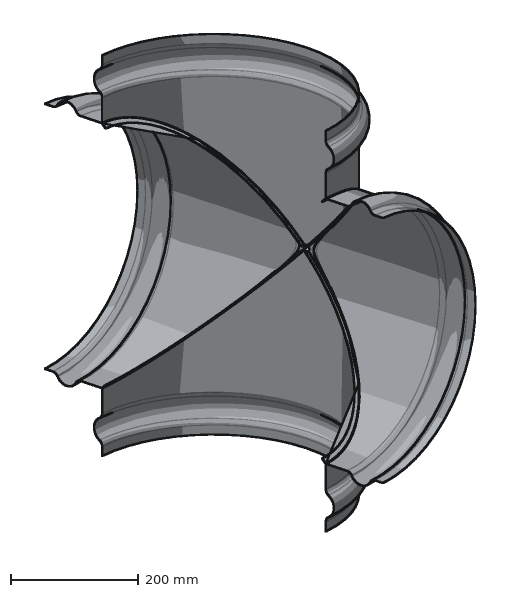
import cadquery as cq
import math

length = 690.0
crest_radius = 245.0
duct_radius = 228.5
sheet = 0.5
bead_offset = 45.0
bead_half_width = 28.0
bead_blend_radius = 10.5
seam_depth = 7.5
center_hole_radius = 5.5
joint_gap = 0.5

seam_width = 2 * sheet
half_length = length / 2
bore_radius = duct_radius - sheet
bead_center = half_length - bead_offset

bead_angle = 2 * math.atan((crest_radius - duct_radius) / bead_half_width)


def bead_points(inset):
    """Radius and axial offset of the bead's points, from its inner foot to its crest."""
    foot_radius = duct_radius - inset
    blend = bead_blend_radius + inset
    blend_center_radius = foot_radius + blend

    def on_blend(angle):
        return (
            blend_center_radius - blend * math.cos(angle),
            bead_half_width - blend * math.sin(angle),
        )

    foot = (foot_radius, bead_half_width)
    crest = (crest_radius - inset, 0.0)
    return foot, on_blend(bead_angle / 2), on_blend(bead_angle), crest


def draw_bead(wire, center, inset, direction):
    """Add one bead to the outline, travelling along the axis in the given direction."""
    foot, blend_mid, tangent, crest = bead_points(inset)

    def before(point):
        return (point[0], center - direction * point[1])

    def after(point):
        return (point[0], center + direction * point[1])

    return (
        wire.lineTo(*before(foot))
        .threePointArc(before(blend_mid), before(tangent))
        .threePointArc(before(crest), after(tangent))
        .threePointArc(after(blend_mid), after(foot))
    )


def make_half_duct():
    """Thin half duct along Z, on the +Y side, with a bead near each end."""
    wire = cq.Workplane("XZ").moveTo(bore_radius, -half_length).lineTo(duct_radius, -half_length)
    for center in (-bead_center, bead_center):
        wire = draw_bead(wire, center, 0, 1)
    wire = wire.lineTo(duct_radius, half_length).lineTo(bore_radius, half_length)
    for center in (bead_center, -bead_center):
        wire = draw_bead(wire, center, sheet, -1)
    return wire.close().revolve(-180, (0, 0), (0, 1))


def turned_to_x(shape):
    return shape.rotate((0, 0, 0), (0, 1, 0), 90)


def cylinder_along_z(radius):
    """Full cylinder whose seam edge lies at -Y, clear of the ducts."""
    cylinder = cq.Workplane("XY").circle(radius).extrude(half_length, both=True)
    return cylinder.rotate((0, 0, 0), (0, 0, 1), -90)


def cylinder_along_x(radius):
    return turned_to_x(cylinder_along_z(radius))


def make_seam_ribs():
    """Two crossing ribs in the diagonal planes, following the mitre inside the ducts."""
    slab = cq.Workplane("XY").box(length, duct_radius, seam_width).translate((0, duct_radius / 2, 0))
    ribs = slab.rotate((0, 0, 0), (0, 1, 0), 45).union(slab.rotate((0, 0, 0), (0, 1, 0), -45))
    middle_radius = duct_radius - sheet / 2
    for cylinder in (cylinder_along_z, cylinder_along_x):
        ribs = ribs.intersect(cylinder(middle_radius)).cut(cylinder(duct_radius - seam_depth))
    return ribs


def make_main_duct():
    """Vertical duct: opened for the branches, left whole at the crown, with the seam ribs.

    The upper half is mirrored to make the lower one, and the two join across the crown.
    """
    above_axis = cq.Workplane("XY").box(length, length, half_length).translate((0, 0, half_length / 2))
    hole = cq.Workplane("XZ").circle(center_hole_radius).extrude(-crest_radius)
    upper = make_half_duct().intersect(above_axis).cut(cylinder_along_x(bore_radius)).cut(hole)
    upper = upper.union(make_seam_ribs().intersect(above_axis).cut(hole))
    return upper.union(upper.mirror("XY"), clean=False)


def make_branch(angle):
    """Branch along +X, clear of the main duct, turned about Y to the given angle."""
    beyond_axis = cq.Workplane("XY").box(half_length, length, length).translate((half_length / 2, 0, 0))
    branch = turned_to_x(make_half_duct()).intersect(beyond_axis)
    branch = branch.cut(cylinder_along_z(duct_radius + joint_gap))
    return branch.rotate((0, 0, 0), (0, 1, 0), angle)


main_duct = make_main_duct()
branches = [make_branch(angle).val() for angle in (0, 180)]

result = cq.Compound.makeCompound([main_duct.val(), *branches])